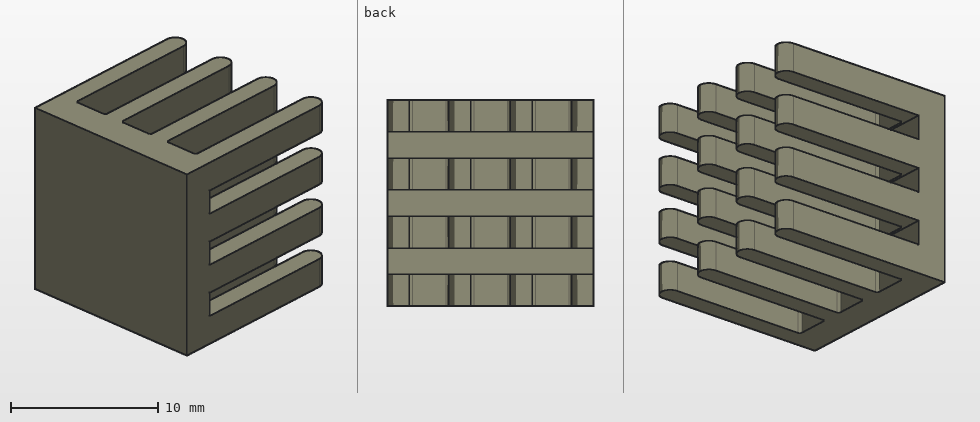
import cadquery as cq

SIDE = 14.0
PINS_PER_ROW = 4
GAPS_PER_ROW = PINS_PER_ROW - 1
PIN_WIDTH = 1.5
CROSS_GAP = 1.79
BASE_THICKNESS = 2.5
CROSS_BASE = 2.3
ROOT_RADIUS = 0.2

TIP_RADIUS = PIN_WIDTH / 2
pin_pitch = (SIDE - PIN_WIDTH) / GAPS_PER_ROW
channel_width = pin_pitch - PIN_WIDTH
pin_height = (SIDE - GAPS_PER_ROW * CROSS_GAP) / PINS_PER_ROW
cross_pitch = pin_height + CROSS_GAP


def box_at(x, y, z, size_x, size_y, size_z):
    """Box with its lowest corner at (x, y, z)."""
    return cq.Workplane("XY").box(size_x, size_y, size_z, centered=False).translate((x, y, z))


def fin(x):
    """Full-height fin with a round tip, starting at the given X."""
    shoulder = SIDE - TIP_RADIUS
    return (
        cq.Workplane("XY")
        .moveTo(x, 0)
        .lineTo(x + PIN_WIDTH, 0)
        .lineTo(x + PIN_WIDTH, shoulder)
        .threePointArc((x + TIP_RADIUS, SIDE), (x, shoulder))
        .close()
        .extrude(SIDE)
    )


def channel_floor(x):
    """Base section between two fins, with a filleted channel bottom."""
    section = box_at(x, 0, 0, channel_width, SIDE, SIDE)
    channel = box_at(x, BASE_THICKNESS, 0, channel_width, SIDE, SIDE)
    channel = channel.edges("|Z and <Y").fillet(ROOT_RADIUS)
    return section.cut(channel)


result = box_at(0, 0, 0, SIDE, BASE_THICKNESS, SIDE)
for i in range(PINS_PER_ROW):
    result = result.union(fin(i * pin_pitch))
for i in range(GAPS_PER_ROW):
    result = result.union(channel_floor(i * pin_pitch + PIN_WIDTH))

for i in range(GAPS_PER_ROW):
    z = i * cross_pitch + pin_height
    result = result.cut(box_at(0, CROSS_BASE, z, SIDE, SIDE, CROSS_GAP))